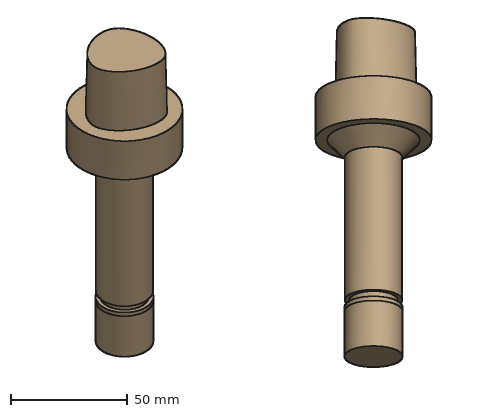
import cadquery as cq
import math

TIP_TOP = 21.0
BAND_TOP = 23.0
GROOVE_TOP = 26.1
SHANK_TOP = 92.1
FLANGE_BOTTOM = 100.0
FLANGE_TOP = 120.0
TOTAL_LENGTH = 150.0

TIP_DIAMETER = 25.0
BAND_DIAMETER = TIP_DIAMETER
GROOVE_DIAMETER = 21.0
SHANK_DIAMETER = 24.8
FLANGE_DIAMETER = 50.0
NECK_TOP_DIAMETER = 39.9

LOBE_COUNT = 3
COUPLING_BASE_DIAMETER = 35.1
COUPLING_TOP_DIAMETER = 33.8
LOBE_HEIGHT = 1.0
LOBE_DIRECTION = math.radians(-90)
POINTS_PER_LOBE = 12


def make_tip():
    """Plain cylindrical working end."""
    return cq.Workplane("XY").circle(TIP_DIAMETER / 2).extrude(TIP_TOP)


def make_turned_body():
    """Band, groove, shank, conical neck and flange as one revolved profile."""
    return (
        cq.Workplane("XZ")
        .moveTo(0, TIP_TOP)
        .lineTo(BAND_DIAMETER / 2, TIP_TOP)
        .lineTo(BAND_DIAMETER / 2, BAND_TOP)
        .lineTo(GROOVE_DIAMETER / 2, BAND_TOP)
        .lineTo(GROOVE_DIAMETER / 2, GROOVE_TOP)
        .lineTo(SHANK_DIAMETER / 2, GROOVE_TOP)
        .lineTo(SHANK_DIAMETER / 2, SHANK_TOP)
        .lineTo(NECK_TOP_DIAMETER / 2, FLANGE_BOTTOM)
        .lineTo(FLANGE_DIAMETER / 2, FLANGE_BOTTOM)
        .lineTo(FLANGE_DIAMETER / 2, FLANGE_TOP)
        .lineTo(0, FLANGE_TOP)
        .close()
        .revolve(360, (0, 0, 0), (0, 1, 0))
    )


def lobed_point(mean_radius, normal_angle):
    """Point of a constant-width lobed curve whose outward normal has the given angle."""
    lobe_phase = LOBE_COUNT * (normal_angle - LOBE_DIRECTION)
    reach = mean_radius + LOBE_HEIGHT * math.cos(lobe_phase)
    slide = -LOBE_COUNT * LOBE_HEIGHT * math.sin(lobe_phase)
    x = reach * math.cos(normal_angle) - slide * math.sin(normal_angle)
    y = reach * math.sin(normal_angle) + slide * math.cos(normal_angle)
    return (x, y)


def lobed_outline(diameter):
    """Points around one closed lobed section."""
    count = LOBE_COUNT * POINTS_PER_LOBE
    return [
        lobed_point(diameter / 2, LOBE_DIRECTION + 2 * math.pi * i / count)
        for i in range(count)
    ]


def make_coupling():
    """Tapered lobed shank standing on the flange."""
    return (
        cq.Workplane("XY")
        .workplane(offset=FLANGE_TOP)
        .spline(lobed_outline(COUPLING_BASE_DIAMETER), periodic=True)
        .close()
        .workplane(offset=TOTAL_LENGTH - FLANGE_TOP)
        .spline(lobed_outline(COUPLING_TOP_DIAMETER), periodic=True)
        .close()
        .loft(ruled=True)
    )


def make_holder():
    """Turned body with the lobed coupling on its flange."""
    return make_turned_body().union(make_coupling())


tip = make_tip()
holder = make_holder()

result = cq.Compound.makeCompound([tip.val(), *holder.solids().vals()])